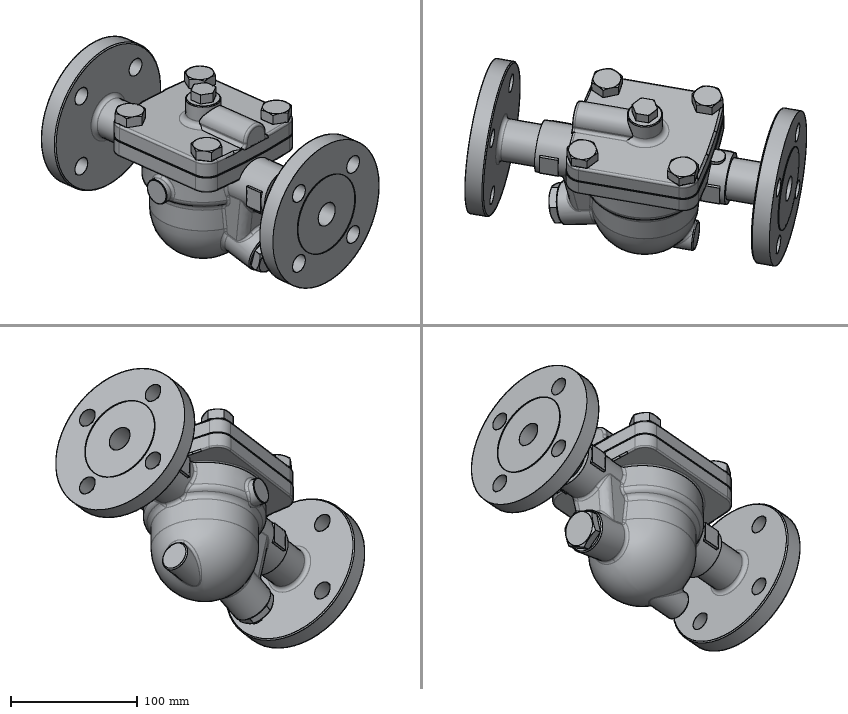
import cadquery as cq
import math

overall_length = 250.0
body_x = -7.5

flange_dia = 125.0
flange_thickness = 15.0
flange_chamfer = 1.0
raised_face_dia = 67.5
raised_face_height = 0.8
bolt_hole_dia = 15.0
bolt_circle_dia = 90.0
pipe_dia = 34.0
neck_fillet = 3.5
coupling_dia = 42.0
coupling_end = 77.5
bore_dia = 20.0
pad_half_span = 21.2
pad_start = 58.2
pad_end = 73.5
pad_height = 17.8
coupling_fillet = 3.0
lug_dia = 14.0
lug_x = -66.0
lug_length = 12.5
lug_top = 23.0

cover_top = 37.0
joint_z = 23.2
plate_bottom = 9.2
gasket_thickness = 0.8
gasket_inset = 0.5
cover_inset = 0.2
bolt_offset = 41.0
corner_radius = 13.0
bow_half_width = 55.8
cover_edge_fillet = 2.0
plate_edge_fillet = 1.2

bolt_across_flats = 22.0
bolt_head_height = 9.0

top_boss_dia = 28.0
top_boss_top = 55.8
top_boss_fillet = 5.0
top_boss_chamfer = 0.8
top_plug_across_flats = 18.0
top_plug_dia = 20.0
top_plug_top = 64.0
duct_radius = 12.2
duct_axis_z = 40.5
duct_end = 49.0
duct_foot_fillet = 2.5
duct_end_fillet = 2.2

bowl_radius = 42.8
bowl_center_z = -41.2
collar_top_radius = 47.5
collar_bottom_radius = 48.8
collar_taper_end = -12.0
collar_round = 6.0
collar_flare = 2.2
bowl_top = 30.0
collar_foot = -22.5

side_boss_dia = 21.0
side_boss_z = -7.2
side_boss_face = 54.8
side_boss_chamfer = 0.5
side_boss_fillet = 2.5
drain_boss_dia = 24.2
drain_boss_z = -70.5
drain_boss_face_x = -49.5
drain_boss_chamfer = 1.0
drain_boss_fillet = 2.5

strainer_dia = 35.0
strainer_tilt = 15.0
strainer_end = (59.0, -59.2)
strainer_length = 40.0
strainer_fillet = 3.5
strainer_plug_across_flats = 29.0
strainer_plug_round = 28.0
strainer_chamfer = 1.0
strainer_plug_height = 7.2
leg_tilt = 10.0
leg_axis_length = 55.0
leg_outer_x = 59.0
leg_depth = 35.0
leg_top_width = 41.0
leg_bottom_width = 32.0
leg_corner_radius = 7.5
leg_fillet = 2.5


def cylinder(start, direction, diameter, length):
    axis = cq.Vector(*direction)
    return cq.Workplane(cq.Solid.makeCylinder(diameter / 2, length, cq.Vector(*start), axis))


def hex_head(across_flats, height, round_dia, turn=0.0):
    """Hexagonal head on Z = 0 whose top corners are rounded off by a 30 degree cone."""
    across_corners = across_flats / math.cos(math.pi / 6)
    corner_drop = (across_corners - round_dia) / 2 * math.tan(math.pi / 6)
    head = cq.Workplane("XY").polygon(6, across_corners).extrude(height)
    corner_cone = (
        cq.Workplane("XZ")
        .polyline([
            (0, 0),
            (across_corners / 2, 0),
            (across_corners / 2, height - corner_drop),
            (round_dia / 2, height),
            (0, height),
        ])
        .close()
        .revolve(360, (0, 0), (0, 1))
    )
    return head.intersect(corner_cone).rotate((0, 0, 0), (0, 0, 1), turn)


def plate(bottom, top, inset=0.0):
    """Square plate with rounded corners and gently bowed left and right sides."""
    corner = corner_radius - inset
    bow = bow_half_width - inset
    gap = bow - bolt_offset
    bow_radius = (bolt_offset**2 + gap**2 - corner**2) / (2 * (gap - corner))
    tangent_angle = math.asin(bolt_offset / (bow_radius - corner))
    tangent_x = bolt_offset + corner * math.cos(tangent_angle)
    tangent_y = bolt_offset + corner * math.sin(tangent_angle)
    middle_angle = (tangent_angle + math.pi / 2) / 2
    middle_x = bolt_offset + corner * math.cos(middle_angle)
    middle_y = bolt_offset + corner * math.sin(middle_angle)
    side_y = bolt_offset + corner
    return (
        cq.Workplane("XY", origin=(body_x, 0, bottom))
        .moveTo(-bolt_offset, -side_y)
        .lineTo(bolt_offset, -side_y)
        .threePointArc((middle_x, -middle_y), (tangent_x, -tangent_y))
        .threePointArc((bow, 0), (tangent_x, tangent_y))
        .threePointArc((middle_x, middle_y), (bolt_offset, side_y))
        .lineTo(-bolt_offset, side_y)
        .threePointArc((-middle_x, middle_y), (-tangent_x, tangent_y))
        .threePointArc((-bow, 0), (-tangent_x, -tangent_y))
        .threePointArc((-middle_x, -middle_y), (-bolt_offset, -side_y))
        .close()
        .extrude(top - bottom)
    )


def flanged_end():
    """Flange, neck and coupling on the +X side, turned about the pipe axis."""
    face = overall_length / 2
    rim = face - raised_face_height
    back = rim - flange_thickness
    pipe_r = pipe_dia / 2
    flange_r = flange_dia / 2
    neck_end = back - neck_fillet
    neck_mid = neck_fillet * (1 - math.cos(math.pi / 4))
    return (
        cq.Workplane("XY")
        .moveTo(0, 0)
        .lineTo(face, 0)
        .lineTo(face, raised_face_dia / 2)
        .lineTo(rim, raised_face_dia / 2)
        .lineTo(rim, flange_r)
        .lineTo(back + flange_chamfer, flange_r)
        .lineTo(back, flange_r - flange_chamfer)
        .lineTo(back, pipe_r + neck_fillet)
        .threePointArc((back - neck_mid, pipe_r + neck_mid), (neck_end, pipe_r))
        .lineTo(coupling_end, pipe_r)
        .lineTo(coupling_end, coupling_dia / 2)
        .lineTo(0, coupling_dia / 2)
        .close()
        .revolve(360, (0, 0), (1, 0))
    )


def side_pads():
    """Square flat pad that breaks through both sides of the +X coupling."""
    pad = cq.Workplane("XY").box(pad_end - pad_start, 2 * pad_half_span, pad_height)
    return pad.translate(((pad_start + pad_end) / 2, 0, 0))


def bowl():
    """Collar below the plates and hemispherical bowl, turned about the body axis."""
    round_center_x = collar_bottom_radius - collar_round
    wall_gap = bowl_radius - round_center_x
    drop = collar_taper_end - collar_foot
    fillet = (wall_gap**2 + drop**2 - collar_round**2) / (2 * (collar_round - wall_gap))
    turn = math.atan2(drop, wall_gap + fillet)

    def on_round(angle):
        return (
            round_center_x + collar_round * math.cos(angle),
            collar_taper_end - collar_round * math.sin(angle),
        )

    def on_fillet(angle):
        return (
            bowl_radius + fillet - fillet * math.cos(angle),
            collar_foot + fillet * math.sin(angle),
        )

    dome_mid = bowl_radius * math.sin(math.pi / 4)
    return (
        cq.Workplane("XZ", origin=(body_x, 0, 0))
        .moveTo(0, bowl_top)
        .lineTo(collar_top_radius, bowl_top)
        .lineTo(collar_bottom_radius, collar_taper_end)
        .threePointArc(on_round(turn / 2), on_round(turn))
        .threePointArc(on_fillet(turn / 2), (bowl_radius, collar_foot))
        .lineTo(bowl_radius, bowl_center_z)
        .threePointArc((dome_mid, bowl_center_z - dome_mid), (0, bowl_center_z - bowl_radius))
        .close()
        .revolve(360, (0, 0), (0, 1))
    )


def collar_flare_ring():
    """Concave fillet between the collar and the underside of the plates."""
    r = collar_top_radius
    foot_mid = collar_flare * (1 - math.cos(math.pi / 4))
    return (
        cq.Workplane("XZ", origin=(body_x, 0, 0))
        .moveTo(0, joint_z)
        .lineTo(r + collar_flare, joint_z)
        .lineTo(r + collar_flare, plate_bottom)
        .threePointArc((r + foot_mid, plate_bottom - foot_mid), (r, plate_bottom - collar_flare))
        .lineTo(0, plate_bottom - collar_flare)
        .close()
        .revolve(360, (0, 0), (0, 1))
    )


def top_boss():
    """Vertical boss on the cover with a flared foot."""
    r = top_boss_dia / 2
    foot = top_boss_fillet
    foot_mid = foot * (1 - math.cos(math.pi / 4))
    return (
        cq.Workplane("XZ", origin=(body_x, 0, 0))
        .moveTo(0, joint_z)
        .lineTo(r + foot, joint_z)
        .lineTo(r + foot, cover_top)
        .threePointArc((r + foot_mid, cover_top + foot_mid), (r, cover_top + foot))
        .lineTo(r, top_boss_top - top_boss_chamfer)
        .lineTo(r - top_boss_chamfer, top_boss_top)
        .lineTo(0, top_boss_top)
        .close()
        .revolve(360, (0, 0), (0, 1))
    )


def top_duct():
    """Round-topped duct that runs from the top boss to the +X edge of the cover."""
    foot = duct_foot_fillet
    foot_mid = foot * (1 - math.cos(math.pi / 4))
    r = duct_radius
    start_x = body_x
    bottom = cover_top - cover_edge_fillet
    duct = (
        cq.Workplane("YZ", origin=(start_x, 0, 0))
        .moveTo(-r - foot, bottom)
        .lineTo(-r - foot, cover_top)
        .threePointArc((-r - foot_mid, cover_top + foot_mid), (-r, cover_top + foot))
        .lineTo(-r, duct_axis_z)
        .threePointArc((0, duct_axis_z + r), (r, duct_axis_z))
        .lineTo(r, cover_top + foot)
        .threePointArc((r + foot_mid, cover_top + foot_mid), (r + foot, cover_top))
        .lineTo(r + foot, bottom)
        .close()
        .extrude(duct_end - start_x)
    )
    return duct.faces(">X").edges(">Z").fillet(duct_end_fillet)


def strainer():
    """Inclined boss with its hexagonal plug."""
    end_x, end_z = strainer_end
    boss = cylinder((0, 0, -strainer_length), (0, 0, 1), strainer_dia, strainer_length)
    boss = boss.faces(">Z").chamfer(strainer_chamfer)
    plug = hex_head(strainer_plug_across_flats, strainer_plug_height, strainer_plug_round)
    return boss.union(plug).rotate((0, 0, 0), (0, 1, 0), 90 + strainer_tilt).translate((end_x, 0, end_z))


def leg():
    """Tapered leg that joins the outlet coupling to the strainer boss."""
    def section(width, z):
        outline = cq.Sketch().rect(leg_depth, width).vertices().fillet(leg_corner_radius)
        return outline.moved(cq.Location(cq.Vector(-leg_depth / 2, 0, z)))

    return (
        cq.Workplane("XY")
        .placeSketch(section(leg_bottom_width, -leg_axis_length), section(leg_top_width, 0))
        .loft()
        .rotate((0, 0, 0), (0, 1, 0), leg_tilt)
        .translate((leg_outer_x, 0, 0))
    )


def side_boss():
    """Round boss on the -Y side of the collar with a flared foot."""
    length = side_boss_face
    boss = cylinder((body_x, -length, side_boss_z), (0, 1, 0), side_boss_dia, length)
    return boss.faces("<Y").chamfer(side_boss_chamfer)


def drain_boss():
    """Round boss low on the -X side of the bowl."""
    start = (drain_boss_face_x, 0, drain_boss_z)
    boss = cylinder(start, (1, 0, 0), drain_boss_dia, body_x - drain_boss_face_x)
    return boss.faces("<X").chamfer(drain_boss_chamfer)


def cover_bolts():
    """Four hexagonal heads; neighbouring heads are turned by 90 degrees."""
    bolts = cq.Workplane("XY")
    for side_x in (-1, 1):
        for side_y in (-1, 1):
            turn = 90 if side_x != side_y else 0
            head = hex_head(bolt_across_flats, bolt_head_height, bolt_across_flats, turn)
            bolts = bolts.add(
                head.translate((body_x + side_x * bolt_offset, side_y * bolt_offset, cover_top))
            )
    return bolts.combine()


def join(base, addition, low, high, radius):
    """Fuse a feature and fillet the seam edges whose centres lie between two corners."""
    fused = base.union(addition)
    return fused.edges(cq.selectors.BoxSelector(low, high)).fillet(radius)


outlet = flanged_end()
inlet = outlet.rotate((0, 0, 0), (0, 0, 1), 180)
body = join(bowl(), outlet, (25, -22.5, -25), (55, 22.5, 22.5), coupling_fillet)
body = join(body, inlet, (-57.5, -22.5, -25), (-40, 22.5, 22.5), coupling_fillet)

body = join(body, side_boss(), (-20, -52.5, -20), (5, -37.5, 7.5), side_boss_fillet)
body = join(body, drain_boss(), (-47.5, -17.5, -83.5), (-7.8, 17.5, -55), drain_boss_fillet)
body = join(body, strainer(), (12.5, -20, -82.5), (45, 20, -30), strainer_fillet)
body = join(body, leg(), (33.0, -22.5, -55), (56.0, 22.5, -36.2), leg_fillet)

lug = (
    cq.Workplane("XY")
    .center(lug_x + lug_length / 2, 0)
    .slot2D(lug_length + lug_dia, lug_dia)
    .extrude(lug_top)
)
body = body.union(lug)

body = body.union(side_pads()).union(side_pads().mirror("YZ"))

lower_plate = plate(plate_bottom, joint_z - gasket_thickness).faces("<Z").edges().fillet(plate_edge_fillet)
gasket = plate(joint_z - gasket_thickness, joint_z, gasket_inset)
cover = plate(joint_z, cover_top, cover_inset).faces(">Z").edges().fillet(cover_edge_fillet)
head = cover.union(gasket).union(lower_plate).union(collar_flare_ring())
body = body.union(head)

top_plug = hex_head(top_plug_across_flats, top_plug_top - top_boss_top, top_plug_dia)
body = body.union(top_duct()).union(top_boss()).union(cover_bolts())
body = body.union(top_plug.translate((body_x, 0, top_boss_top)))

for side in (-1, 1):
    face_x = side * overall_length / 2
    bore_depth = overall_length / 2 - coupling_end
    body = body.cut(cylinder((face_x, 0, 0), (-side, 0, 0), bore_dia, bore_depth))
    for quarter in range(4):
        angle = math.radians(45 + 90 * quarter)
        hole_y = bolt_circle_dia / 2 * math.cos(angle)
        hole_z = bolt_circle_dia / 2 * math.sin(angle)
        hole_depth = raised_face_height + flange_thickness
        body = body.cut(cylinder((face_x, hole_y, hole_z), (-side, 0, 0), bolt_hole_dia, hole_depth))

result = body